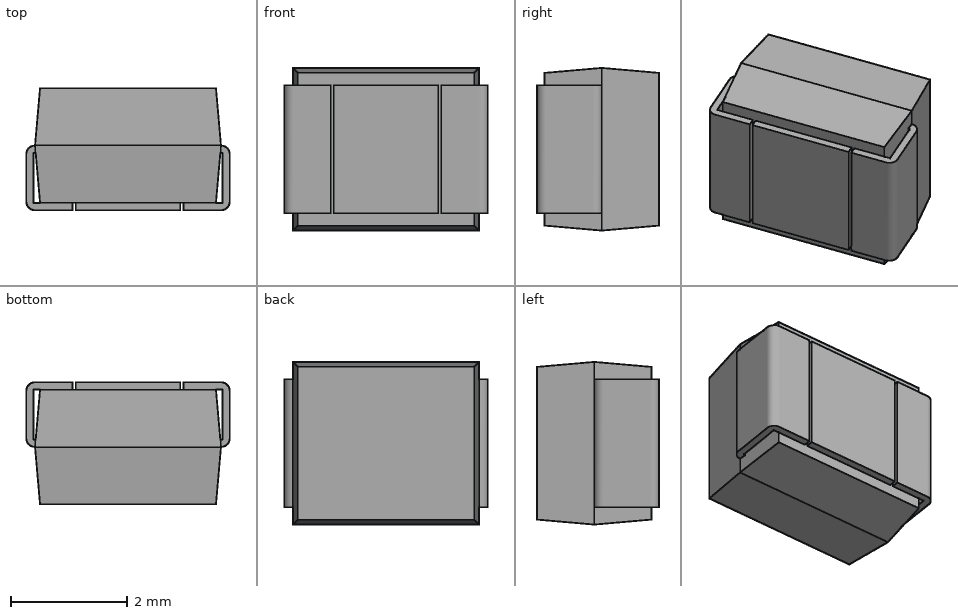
import cadquery as cq
import math

body_length = 3.2
body_width = 2.8
body_depth = 1.97
draft_angle = 5.0
half_depth = body_depth / 2
wall_x = body_length / 2

strip_thickness = 0.13
strip_width = 2.2
lead_span = 3.5
lead_foot_length = 0.8
pad_gap = 0.05

lead_outer_x = lead_span / 2
lead_inner_x = lead_outer_x - strip_thickness
foot_tip_x = lead_outer_x - lead_foot_length
arm_inner_y = -strip_thickness
foot_inner_y = -half_depth
foot_outer_y = foot_inner_y - strip_thickness
bend_radius = lead_outer_x - wall_x
pad_length = 2 * (foot_tip_x - pad_gap)


def body_half(side):
    """Half of the body, tapering from the parting plane to Y = side * half_depth."""
    parting_plane = cq.Plane(origin=(0, 0, 0), xDir=(1, 0, 0), normal=(0, side, 0))
    return cq.Workplane(parting_plane).rect(body_length, body_width).extrude(half_depth, taper=draft_angle)


def lead(side):
    """C-shaped lead: its arm ends on the drafted wall, its foot lies under the body."""
    arm_tip_x = wall_x - strip_thickness * math.tan(math.radians(draft_angle))
    return (
        cq.Workplane("XY")
        .moveTo(side * wall_x, 0)
        .radiusArc((side * lead_outer_x, -bend_radius), side * bend_radius)
        .lineTo(side * lead_outer_x, foot_outer_y + bend_radius)
        .radiusArc((side * wall_x, foot_outer_y), side * bend_radius)
        .lineTo(side * foot_tip_x, foot_outer_y)
        .lineTo(side * foot_tip_x, foot_inner_y)
        .lineTo(side * lead_inner_x, foot_inner_y)
        .lineTo(side * lead_inner_x, arm_inner_y)
        .lineTo(side * arm_tip_x, arm_inner_y)
        .close()
        .extrude(strip_width / 2, both=True)
    )


def centre_pad():
    """Flat pad under the body, between the two feet."""
    pad_y = (foot_inner_y + foot_outer_y) / 2
    return cq.Workplane("XY").box(pad_length, strip_thickness, strip_width).translate((0, pad_y, 0))


body_halves = [body_half(side) for side in (-1, 1)]
leads = [lead(side) for side in (-1, 1)]
pad = centre_pad()

result = cq.Compound.makeCompound(
    [half.val() for half in body_halves] + [one_lead.val() for one_lead in leads] + [pad.val()]
)